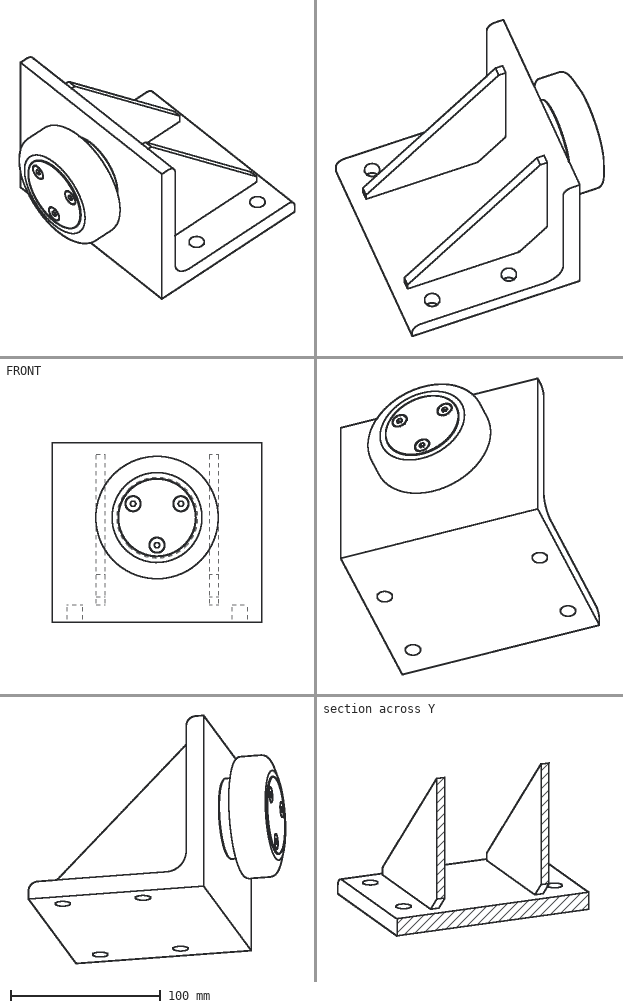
import cadquery as cq
import math

bracket_width = 140.0
leg_length = 120.0
leg_thickness = 12.0
root_radius = 13.4
toe_radius = 6.5

rib_thickness = 6.0
rib_inner_spacing = 70.0
rib_leg = 100.1
rib_end = 5.0
rib_corner_clip = 20.1

hole_diameter = 10.1
hole_spacing_x = 110.0
hole_spacing_y = 55.0
hole_first_y = 45.0

buffer_height = 70.0
stem_diameter = 54.0
stem_length = 10.0
stem_chamfer = 0.8
wheel_diameter = 81.7
wheel_back_fillet = 2.0
wheel_shoulder_depth = 28.9
wheel_shoulder_fillet = 4.0
wheel_face_diameter = 60.0
wheel_face_depth = 32.8
cap_diameter = 52.0
cap_chamfer = 0.3
buffer_depth = 153.5 - leg_length

screw_count = 3
screw_circle_radius = 18.4
screw_hole_diameter = 10.5
screw_head_diameter = 9.8
screw_gap_depth = 1.0
socket_across_flats = 3.4
socket_depth = 2.5


def make_angle():
    """L-shaped profile with a rounded root and rounded toes."""
    profile = [
        (0, 0),
        (leg_length, 0),
        (leg_length, leg_thickness),
        (leg_thickness, leg_thickness),
        (leg_thickness, leg_length),
        (0, leg_length),
    ]
    angle = cq.Workplane("YZ").polyline(profile).close().extrude(bracket_width / 2, both=True)
    root = cq.selectors.NearestToPointSelector((0, leg_thickness, leg_thickness))
    angle = angle.edges("|X").edges(root).fillet(root_radius)
    for y, z in [(leg_length, leg_thickness), (leg_thickness, leg_length)]:
        toe = cq.selectors.NearestToPointSelector((0, y, z))
        angle = angle.edges("|X").edges(toe).fillet(toe_radius)
    return angle


def make_rib(x_start):
    """Triangular gusset, clipped to clear the root fillet."""
    profile = [
        (rib_corner_clip, 0),
        (rib_leg, 0),
        (rib_leg, rib_end),
        (rib_end, rib_leg),
        (0, rib_leg),
        (0, rib_corner_clip),
    ]
    plane = cq.Workplane("YZ", origin=(x_start, leg_thickness, leg_thickness))
    return plane.polyline(profile).close().extrude(rib_thickness)


def make_mounting_holes():
    return (
        cq.Workplane("XY", origin=(0, hole_first_y + hole_spacing_y / 2, 0))
        .rarray(hole_spacing_x, hole_spacing_y, 2, 2)
        .circle(hole_diameter / 2)
        .extrude(leg_thickness)
    )


def front_plane(depth):
    """Plane on the buffer axis, facing forward, at a depth in front of the bracket."""
    return cq.Workplane("XZ", origin=(0, -depth, buffer_height))


def make_buffer():
    """Stem, wheel with a conical front, and a slightly raised cap."""
    stem = front_plane(0).circle(stem_diameter / 2).extrude(stem_length)
    stem = stem.edges().chamfer(stem_chamfer)
    wheel_radius = wheel_diameter / 2
    wheel = (
        cq.Workplane("XY")
        .moveTo(0, -stem_length)
        .lineTo(wheel_radius, -stem_length)
        .lineTo(wheel_radius, -wheel_shoulder_depth)
        .lineTo(wheel_face_diameter / 2, -wheel_face_depth)
        .lineTo(0, -wheel_face_depth)
        .close()
        .revolve(360, (0, 0), (0, 1))
        .translate((0, 0, buffer_height))
    )
    shoulder = cq.selectors.NearestToPointSelector((0, -wheel_shoulder_depth, buffer_height))
    wheel = wheel.edges(">Y").fillet(wheel_back_fillet)
    wheel = wheel.edges("%CIRCLE").edges(shoulder).fillet(wheel_shoulder_fillet)
    cap = front_plane(wheel_face_depth).circle(cap_diameter / 2).extrude(buffer_depth - wheel_face_depth)
    cap = cap.faces("<Y").edges().chamfer(cap_chamfer)
    return stem.union(wheel).union(cap)


def cut_screws(body):
    """Cut the gap around each screw head and its hexagon socket."""
    centers = front_plane(buffer_depth).polarArray(screw_circle_radius, -90, 360, screw_count, rotate=False)
    gaps = (
        centers.circle(screw_hole_diameter / 2)
        .circle(screw_head_diameter / 2)
        .extrude(-screw_gap_depth)
    )
    socket_across_corners = socket_across_flats / math.cos(math.radians(30))
    sockets = centers.polygon(6, socket_across_corners).extrude(-socket_depth)
    return body.cut(gaps).cut(sockets)


result = make_angle()
for rib_x in (rib_inner_spacing / 2, -rib_inner_spacing / 2 - rib_thickness):
    result = result.union(make_rib(rib_x))
result = result.cut(make_mounting_holes())
result = cut_screws(result.union(make_buffer()))